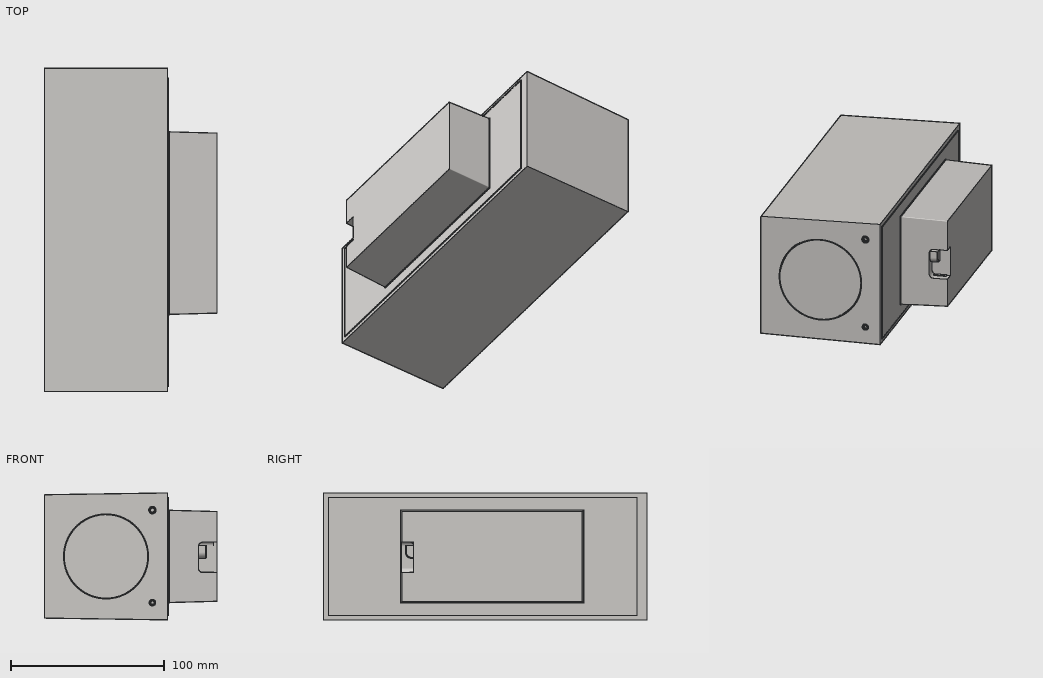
import cadquery as cq

TOTAL_DEPTH = 112.5

HOUSING_LENGTH = 210.7
HOUSING_DEPTH = 80.3
HOUSING_WALL_HEIGHT = 82.8
HOUSING_FREE_HEIGHT = 80.5
HOUSING_EDGE_RADIUS = 0.6
FRONT_Y = -HOUSING_LENGTH / 2

LENS_RADIUS = 27.2
LENS_GAP = 0.53
LENS_THICKNESS = 3.2
LENS_X = HOUSING_DEPTH / 2

SCREW_X = 70.4
SCREW_Z = 30.1
UPPER_SCREW_RADIUS = 2.0
LOWER_SCREW_RADIUS = 1.7
SCREWS = [(SCREW_Z, UPPER_SCREW_RADIUS), (-SCREW_Z, LOWER_SCREW_RADIUS)]
SCREW_GAP = 0.5
SCREW_LENGTH = 8.5
SOCKET_RATIO = 0.65
SOCKET_DEPTH = 1.7

GASKET_THICKNESS = 0.6
GASKET_HEIGHT = 77.0
GASKET_Y_MIN = -102.0
GASKET_Y_MAX = 98.8

MOUNT_X = HOUSING_DEPTH + GASKET_THICKNESS
MOUNT_DEPTH = TOTAL_DEPTH - MOUNT_X
MOUNT_Y = 4.5
MOUNT_BASE_LENGTH = 119.0
MOUNT_BASE_HEIGHT = 60.3
MOUNT_TAPER = 0.8
MOUNT_EDGE_RADIUS = 0.5
MOUNT_LIP_THICKNESS = 0.6
MOUNT_LIP_OVERHANG = 0.2

NOTCH_WIDTH = 12.2
NOTCH_TOP = 9.3
NOTCH_BOTTOM = -10.5
NOTCH_RADIUS = 3.0
NOTCH_DEPTH = 8.5
NOTCH_X = TOTAL_DEPTH - NOTCH_WIDTH

LEDGE_WIDTH = 10.0
COVE_RADIUS = 2.3
SILL_HEIGHT = 0.5
BOSS_WIDTH = 5.3
BOSS_BOTTOM = -1.3
BOSS_HEIGHT = 5.3
BOSS_RADIUS = 3.8
BOSS_SIDE_CHAMFER = 0.6


def box_between(x_range, y_range, z_range):
    """Box given by its lower and upper limit along each axis."""
    ranges = (x_range, y_range, z_range)
    size = [high - low for low, high in ranges]
    corner = [low for low, high in ranges]
    return cq.Workplane("XY").box(*size, centered=False).translate(tuple(corner))


def end_cylinder(x, z, radius, depth):
    """Cylinder going from the housing's end face into the housing."""
    return (
        cq.Workplane("XZ", origin=(x, FRONT_Y, z))
        .circle(radius)
        .extrude(-depth)
    )


def make_housing():
    """Tapered block with round seats for the lens and the screws."""
    free_half = HOUSING_FREE_HEIGHT / 2
    wall_half = HOUSING_WALL_HEIGHT / 2
    outline = [
        (0, -free_half),
        (HOUSING_DEPTH, -wall_half),
        (HOUSING_DEPTH, wall_half),
        (0, free_half),
    ]
    block = (
        cq.Workplane("XZ", origin=(0, FRONT_Y, 0))
        .polyline(outline)
        .close()
        .extrude(-HOUSING_LENGTH)
    )
    block = block.edges("|Y and <X").fillet(HOUSING_EDGE_RADIUS)
    block = block.cut(end_cylinder(LENS_X, 0, LENS_RADIUS + LENS_GAP, LENS_THICKNESS))
    for z, radius in SCREWS:
        block = block.cut(end_cylinder(SCREW_X, z, radius + SCREW_GAP, SCREW_LENGTH))
    return block


def make_lens():
    return end_cylinder(LENS_X, 0, LENS_RADIUS, LENS_THICKNESS)


def make_screw(z, radius):
    """Screw with a round socket in its head."""
    socket = end_cylinder(SCREW_X, z, radius * SOCKET_RATIO, SOCKET_DEPTH)
    return end_cylinder(SCREW_X, z, radius, SCREW_LENGTH).cut(socket)


def make_gasket():
    half_height = GASKET_HEIGHT / 2
    return box_between(
        (HOUSING_DEPTH, MOUNT_X),
        (GASKET_Y_MIN, GASKET_Y_MAX),
        (-half_height, half_height),
    )


def make_mount():
    """Lipped box that narrows toward the wall, with the cable notch cut into its end."""
    body = (
        cq.Workplane("YZ", origin=(MOUNT_X, MOUNT_Y, 0))
        .rect(MOUNT_BASE_LENGTH, MOUNT_BASE_HEIGHT)
        .workplane(offset=MOUNT_DEPTH)
        .rect(MOUNT_BASE_LENGTH - 2 * MOUNT_TAPER, MOUNT_BASE_HEIGHT - 2 * MOUNT_TAPER)
        .loft(ruled=True)
    )
    body = body.edges("not #X").fillet(MOUNT_EDGE_RADIUS)
    lip = (
        cq.Workplane("YZ", origin=(MOUNT_X, MOUNT_Y, 0))
        .rect(MOUNT_BASE_LENGTH + 2 * MOUNT_LIP_OVERHANG, MOUNT_BASE_HEIGHT + 2 * MOUNT_LIP_OVERHANG)
        .extrude(MOUNT_LIP_THICKNESS)
    )
    return body.union(lip).cut(make_notch())


def make_notch():
    """Volume removed for the notch, without the cove, sill and boss on its floor."""
    end_y = MOUNT_Y - MOUNT_BASE_LENGTH / 2
    floor_y = end_y + NOTCH_DEPTH
    notch = box_between((NOTCH_X, TOTAL_DEPTH), (end_y, floor_y), (NOTCH_BOTTOM, NOTCH_TOP))
    notch = notch.edges("|Y and <X").fillet(NOTCH_RADIUS)

    ledge_x = (NOTCH_X, NOTCH_X + LEDGE_WIDTH)
    cove_y = floor_y - COVE_RADIUS
    cove_z = NOTCH_TOP - COVE_RADIUS
    cove_hollow = (
        cq.Workplane("YZ", origin=(NOTCH_X, cove_y, cove_z))
        .circle(COVE_RADIUS)
        .extrude(LEDGE_WIDTH)
    )
    cove = box_between(ledge_x, (cove_y, floor_y), (cove_z, NOTCH_TOP)).cut(cove_hollow)

    sill_z = (NOTCH_BOTTOM, NOTCH_BOTTOM + SILL_HEIGHT)
    sill = box_between(ledge_x, (floor_y - COVE_RADIUS, floor_y), sill_z)

    boss = box_between(
        (NOTCH_X, NOTCH_X + BOSS_WIDTH),
        (floor_y - BOSS_HEIGHT, floor_y),
        (BOSS_BOTTOM, cove_z),
    )
    boss = boss.edges("|X and <Y and <Z").fillet(BOSS_RADIUS)
    boss = boss.edges("|Z and <Y and >X").chamfer(BOSS_SIDE_CHAMFER)
    return notch.cut(cove).cut(sill).cut(boss)


housing = make_housing()
lens = make_lens()
screws = [make_screw(z, radius) for z, radius in SCREWS]
gasket = make_gasket()
mount = make_mount()

result = cq.Compound.makeCompound([
    housing.val(),
    lens.val(),
    *[screw.val() for screw in screws],
    gasket.val(),
    mount.val(),
])